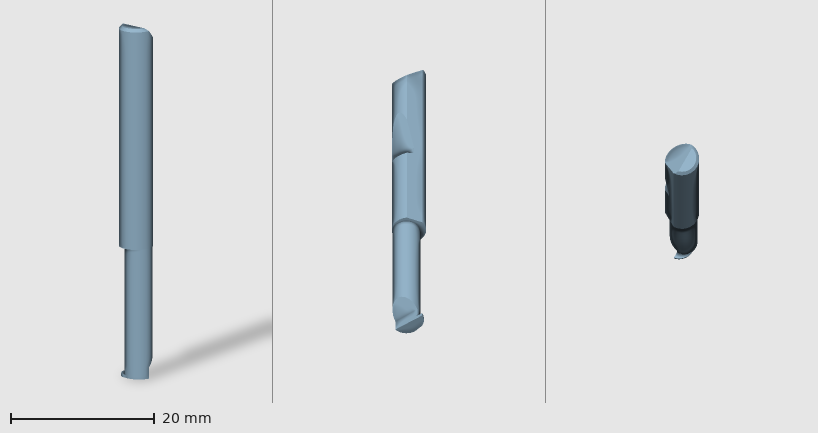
import cadquery as cq
import math

total_length = 50.8
shank_radius = 2.4
neck_radius = 1.95
neck_length = 19.0
neck_offset = shank_radius - neck_radius
margin = 5.1

end_chamfer = 0.4
flat_angle = 30
bevel_start_y = -0.5
notch_bottom = 32.15
notch_corner_z = 32.7
notch_lower_floor = 33.8
notch_top = 40.95
notch_floor_y = 1.1

half_cut_height = 1.85
lip_height = 0.5
lip_reach = 2.3
lip_heel_x = -0.9
lip_heel_y = -1.7
lip_flank_point = (-1.85, -1)
groove_x = -1.3
groove_height = 0.25
end_relief_x = 0.04
end_relief_y = 0.06


def prism_along_x(points):
    """Extrude a closed (Y, Z) outline across the whole part."""
    return cq.Workplane("YZ").polyline(points).close().extrude(margin, both=True)


def make_shank():
    shank = (
        cq.Workplane("XY").workplane(offset=neck_length)
        .circle(shank_radius).extrude(total_length - neck_length)
        .faces(">Z").chamfer(end_chamfer)
    )

    flat_run = margin * math.tan(math.radians(flat_angle))
    flat = (
        cq.Workplane("XY")
        .polyline([
            (-shank_radius, 0),
            (flat_run - shank_radius, margin),
            (-shank_radius - margin, margin),
            (-shank_radius - margin, 0),
        ])
        .close().extrude(total_length)
    )

    bevel = prism_along_x([
        (bevel_start_y, total_length),
        (bevel_start_y + margin, total_length - margin),
        (bevel_start_y + margin, total_length),
    ])

    notch = prism_along_x([
        (shank_radius, notch_top),
        (notch_floor_y, notch_lower_floor),
        (notch_floor_y, notch_corner_z),
        (shank_radius, notch_bottom),
    ])
    return shank.cut(flat).cut(bevel).cut(notch)


def make_neck():
    neck = cq.Workplane("XY").center(neck_offset, 0).circle(neck_radius).extrude(neck_length)

    half_cut = prism_along_x([
        (0, 0),
        (0, half_cut_height),
        (margin, half_cut_height + margin),
        (margin, 0),
    ])

    groove = (
        cq.Workplane("XY").workplane(offset=lip_height)
        .rect(2 * margin, 2 * margin).extrude(groove_height)
        .translate((groove_x - margin, 0, 0))
    )
    return neck.cut(half_cut).cut(groove)


def make_lip():
    """Thin cutting lip reaching out to -X, blending into the neck on -Y."""
    return (
        cq.Workplane("XY").moveTo(-lip_reach, 0)
        .threePointArc(lip_flank_point, (lip_heel_x, lip_heel_y))
        .lineTo(neck_offset, -neck_radius)
        .lineTo(neck_offset, 0)
        .close().extrude(lip_height)
    )


def make_end_relief():
    """Block under the tilted end face, whose lowest point is the lip corner."""
    tilted = cq.Plane(
        origin=(-lip_reach, 0, 0),
        xDir=(1, 0, end_relief_x),
        normal=(-end_relief_x, end_relief_y, 1),
    )
    return cq.Workplane(tilted).rect(4 * margin, 4 * margin).extrude(-margin)


result = make_shank().union(make_neck()).union(make_lip()).cut(make_end_relief())